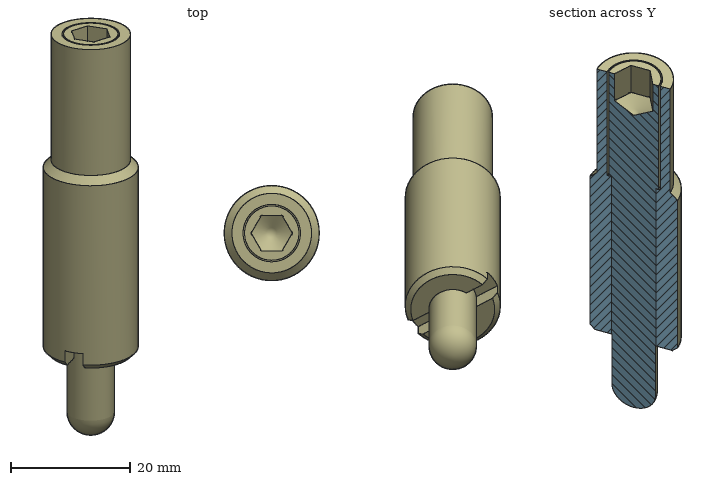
import cadquery as cq
import math

total_height = 73.0
housing_bottom = 15.0
shoulder_top = 50.0

barrel_diameter = 16.0
neck_diameter = 13.35
head_bore_diameter = 9.6
bottom_chamfer = 0.95
slot_width = 3.2
slot_depth = 3.0

tip_diameter = 8.0
head_diameter = 9.1
head_bottom = shoulder_top

socket_across_flats = 6.0
socket_depth = 6.0
socket_point_angle = 118.0

barrel_radius = barrel_diameter / 2
neck_radius = neck_diameter / 2
tip_radius = tip_diameter / 2
head_radius = head_diameter / 2
head_bore_radius = head_bore_diameter / 2
shoulder_bottom = shoulder_top - (barrel_radius - neck_radius)


def make_pin_blank():
    """Round pin with a domed tip and a wider head, revolved about Z."""
    dome_middle = tip_radius * (1 - math.sqrt(0.5))
    return (
        cq.Workplane("XZ")
        .lineTo(0, total_height)
        .lineTo(head_radius, total_height)
        .lineTo(head_radius, head_bottom)
        .lineTo(tip_radius, head_bottom)
        .lineTo(tip_radius, tip_radius)
        .threePointArc((tip_radius * math.sqrt(0.5), dome_middle), (0, 0))
        .close()
        .revolve(360, (0, 0), (0, 1))
    )


def make_socket():
    """Hexagonal recess, corners along X, ending in a drilled cone."""
    corner_diameter = socket_across_flats / math.cos(math.pi / 6)
    corner_radius = corner_diameter / 2
    floor = total_height - socket_depth
    cone_depth = corner_radius / math.tan(math.radians(socket_point_angle / 2))
    hexagon = (
        cq.Workplane("XY", origin=(0, 0, floor))
        .polygon(6, corner_diameter)
        .extrude(socket_depth)
    )
    cone = cq.Solid.makeCone(0, corner_radius, cone_depth, cq.Vector(0, 0, floor - cone_depth))
    return hexagon.union(cq.Workplane(cone))


def make_housing():
    """Stepped sleeve with a bore stepped like the pin, slotted across its lower end."""
    sleeve = (
        cq.Workplane("XZ")
        .moveTo(tip_radius, housing_bottom)
        .lineTo(barrel_radius - bottom_chamfer, housing_bottom)
        .lineTo(barrel_radius, housing_bottom + bottom_chamfer)
        .lineTo(barrel_radius, shoulder_bottom)
        .lineTo(neck_radius, shoulder_top)
        .lineTo(neck_radius, total_height)
        .lineTo(head_bore_radius, total_height)
        .lineTo(head_bore_radius, head_bottom)
        .lineTo(tip_radius, head_bottom)
        .close()
        .revolve(360, (0, 0), (0, 1))
    )
    slot = (
        cq.Workplane("XY", origin=(0, 0, housing_bottom))
        .rect(slot_width, barrel_diameter)
        .extrude(slot_depth)
    )
    return sleeve.cut(slot)


housing = make_housing()
pin = make_pin_blank().cut(make_socket())

result = cq.Compound.makeCompound([housing.val(), pin.val()])